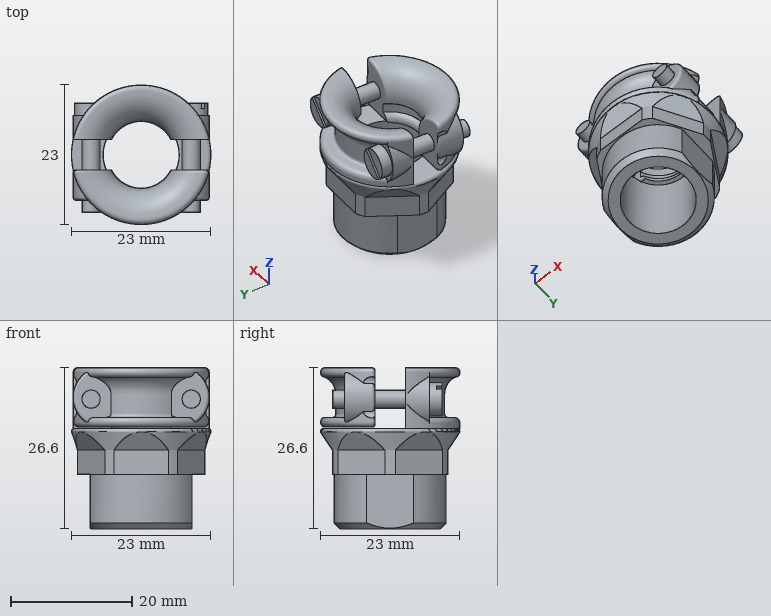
import cadquery as cq
import math

thread_radius = 9.25
thread_flat_x = 8.4
thread_height = 9.0
thread_chamfer = 1.0
hex_half_width = 9.5
hex_corner_radius = 10.5
hex_top_z = 13.0
seat_cone_top_z = 16.0
seat_z = 16.6
seat_round = 0.55
outer_radius = 11.5
bore_radius = 6.25

jaw_top_z = 26.6
jaw_gap_half = 2.5
loose_jaw_clearance = 0.2
loose_base_z = seat_z + loose_jaw_clearance
rim_round = 0.8
neck_radius = 9.0
neck_root_round = 0.5
lower_flange_top_z = loose_base_z + 2 * rim_round
fixed_flange_round = 1.0
upper_flange_base_z = jaw_top_z - 2 * rim_round
neck_top_z = 22.24
neck_flare_radius = 3.05

throat_radius = 5.5
throat_flare_radius = 5.0
throat_flare_z = jaw_top_z - throat_flare_radius
throat_base_z = 20.7
recess_radius = 6.4
recess_top_z = 20.1
recess_base_z = 18.37
lower_lip_top_z = 17.7
lower_lip_round = 1.1

lug_radius = 5.0
lug_axis_x = 6.22
loose_lug_z = 21.7
loose_lug_y = 7.5
loose_edge_round = 0.5
fixed_lug_y = 6.5
screw_x = 8.25
screw_z = 21.4
screw_radius = 1.5
screw_tip_y = -9.5
head_radius = 2.75
head_face_y = 8.5
head_slot_width = 0.75
head_slot_depth = 0.9
head_slot_angle = 45
lug_inner_radius = 8.8
relief_floor_x = 10.65
relief_corner_radius = 1.2
relief_half_height = 3.7

SIDES = (-1, 1)
BIG = 4 * outer_radius
HEX_SIDES = 6


def tube(radius, z_low, z_high):
    return cq.Workplane("XY").workplane(offset=z_low).circle(radius).extrude(z_high - z_low)


def y_cylinder(x, z, radius, y_low, y_high):
    return cq.Workplane("XZ", origin=(x, y_low, z)).circle(radius).extrude(y_low - y_high)


def y_slab(y_low, y_high):
    return cq.Workplane("XY").box(BIG, y_high - y_low, BIG).translate(
        (0, (y_low + y_high) / 2, jaw_top_z / 2)
    )


def make_body():
    thread = tube(thread_radius, 0, thread_height).faces("<Z").chamfer(thread_chamfer)
    thread = thread.intersect(cq.Workplane("XY").box(2 * thread_flat_x, BIG, BIG))

    cone_height = seat_cone_top_z - hex_top_z
    spread = outer_radius - hex_half_width
    flat_taper = math.degrees(math.atan(spread / cone_height))
    across_corners = 2 * hex_half_width / math.cos(math.pi / HEX_SIDES)
    hexagon = (
        cq.Workplane("XY").workplane(offset=thread_height)
        .polygon(HEX_SIDES, across_corners).extrude(hex_top_z - thread_height)
    )
    hex_flare = (
        cq.Workplane("XY").workplane(offset=hex_top_z)
        .polygon(HEX_SIDES, across_corners).extrude(cone_height, taper=-flat_taper)
    )
    turned = (
        cq.Workplane("XZ")
        .moveTo(0, thread_height)
        .lineTo(hex_corner_radius, thread_height)
        .lineTo(hex_corner_radius, hex_top_z)
        .lineTo(outer_radius, seat_cone_top_z)
        .lineTo(0, seat_cone_top_z)
        .close()
        .revolve(360, (0, 0), (0, 1))
    )
    seat = tube(outer_radius, seat_cone_top_z, seat_z).faces(">Z").edges().fillet(seat_round)
    body = hexagon.union(hex_flare).intersect(turned).union(thread).union(seat)
    return body.cut(tube(bore_radius, 0, seat_z))


def waist(y_low, y_high, lower_round):
    """Cutting tool for the flanged, waisted outside of a jaw, between two Y planes."""
    rim_flat = outer_radius - rim_round
    upper_rim_z = jaw_top_z - rim_round
    lower_rim_z = lower_flange_top_z - lower_round
    return (
        cq.Workplane("XZ")
        .moveTo(BIG, lower_rim_z)
        .lineTo(outer_radius, lower_rim_z)
        .radiusArc((outer_radius - lower_round, lower_flange_top_z), -lower_round)
        .lineTo(neck_radius + neck_root_round, lower_flange_top_z)
        .radiusArc((neck_radius, lower_flange_top_z + neck_root_round), neck_root_round)
        .lineTo(neck_radius, neck_top_z)
        .radiusArc((rim_flat, upper_flange_base_z), neck_flare_radius)
        .radiusArc((outer_radius, upper_rim_z), -rim_round)
        .lineTo(BIG, upper_rim_z)
        .close()
        .revolve(360, (0, 0), (0, 1))
        .intersect(y_slab(y_low, y_high))
    )


def jaw_cavity():
    """Trumpet mouth, throat, seal recess and lower lip as one solid of revolution."""
    mouth_radius = throat_radius + throat_flare_radius
    flare_step = throat_flare_radius * math.sqrt(0.5)
    lip_slope = math.atan2(recess_radius - throat_radius, recess_base_z - lower_lip_top_z)
    lip_tangent = lower_lip_round * math.tan(lip_slope / 2)
    return (
        cq.Workplane("XZ")
        .moveTo(0, seat_z)
        .lineTo(throat_radius, seat_z)
        .lineTo(throat_radius, lower_lip_top_z - lip_tangent)
        .radiusArc(
            (
                throat_radius + lip_tangent * math.sin(lip_slope),
                lower_lip_top_z + lip_tangent * math.cos(lip_slope),
            ),
            lower_lip_round,
        )
        .lineTo(recess_radius, recess_base_z)
        .lineTo(recess_radius, recess_top_z)
        .lineTo(throat_radius, throat_base_z)
        .lineTo(throat_radius, throat_flare_z)
        .threePointArc(
            (mouth_radius - flare_step, throat_flare_z + flare_step),
            (mouth_radius, jaw_top_z),
        )
        .lineTo(0, jaw_top_z)
        .close()
        .revolve(360, (0, 0), (0, 1))
    )


def lug_pair(lug_z, y_low, y_high, end_round=0):
    """Horizontal lug cylinders, one on each side."""
    lugs = cq.Workplane("XY")
    for side in SIDES:
        lug = y_cylinder(side * lug_axis_x, lug_z, lug_radius, y_low, y_high)
        if end_round:
            lug = lug.edges("%CIRCLE").fillet(end_round)
        lugs = lugs.add(lug)
    return lugs.combine()


def make_fixed_jaw():
    lugs = lug_pair(screw_z, jaw_gap_half, fixed_lug_y)
    return (
        tube(outer_radius, seat_z, jaw_top_z).faces(">Z").edges().fillet(rim_round)
        .intersect(y_slab(jaw_gap_half, BIG))
        .cut(waist(fixed_lug_y, BIG, fixed_flange_round))
        .union(lugs.intersect(tube(BIG, seat_z, jaw_top_z)))
        .cut(jaw_cavity())
    )


def web_reliefs():
    """Flat-floored channels along Y that free the loose lugs from the web beside them."""
    channel_width = 2 * outer_radius
    reliefs = cq.Workplane("XY")
    for side in SIDES:
        channel = (
            cq.Workplane("XY")
            .box(channel_width, 2 * loose_lug_y, 2 * relief_half_height)
            .edges("|Y").fillet(relief_corner_radius)
            .translate((side * (relief_floor_x + channel_width / 2), -loose_lug_y, loose_lug_z))
        )
        reliefs = reliefs.add(channel)
    return reliefs.combine()


def loose_lugs():
    """Lugs of the loose jaw, ending inside its wall so they never reach the mouth."""
    band = tube(BIG, loose_base_z + rim_round, jaw_top_z - rim_round)
    return (
        lug_pair(loose_lug_z, -loose_lug_y, -jaw_gap_half, loose_edge_round)
        .intersect(band)
        .cut(tube(lug_inner_radius, loose_base_z, jaw_top_z))
    )


def make_loose_jaw():
    half_ring = (
        tube(outer_radius, loose_base_z, jaw_top_z).edges().fillet(rim_round)
        .cut(jaw_cavity())
        .intersect(y_slab(-BIG, -jaw_gap_half))
    )
    rounded = half_ring.faces(">Y").edges(">Z").fillet(loose_edge_round)
    return (
        rounded
        .cut(waist(-BIG, loose_edge_round - loose_lug_y, rim_round))
        .cut(web_reliefs())
        .union(loose_lugs())
    )


def make_screw(side):
    x = side * screw_x
    shank = y_cylinder(x, screw_z, screw_radius, screw_tip_y, fixed_lug_y)
    head = y_cylinder(x, screw_z, head_radius, fixed_lug_y, head_face_y)
    slot = (
        cq.Workplane("XY").box(2 * head_radius, 2 * head_slot_depth, head_slot_width)
        .rotate((0, 0, 0), (0, 1, 0), -head_slot_angle)
        .translate((x, head_face_y, screw_z))
    )
    return head.cut(slot).union(shank)


result = make_body().union(make_fixed_jaw()).union(make_loose_jaw())
for side in SIDES:
    result = result.union(make_screw(side))